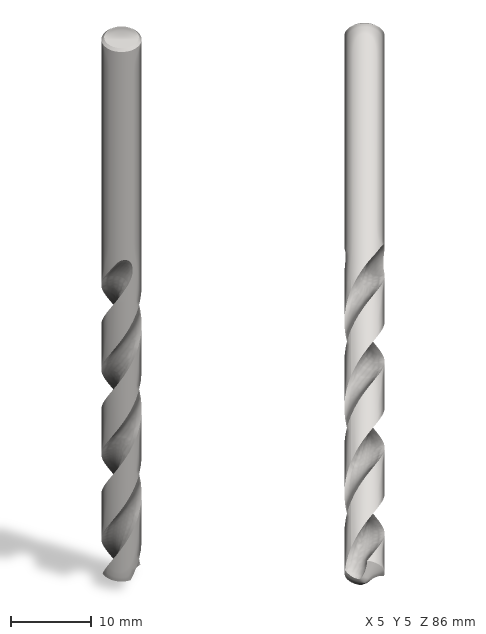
import cadquery as cq
import math

diameter = 5.0
total_length = 86.0
shank_start = 46.0
point_angle = 118.0
shank_chamfer = 0.35

flute_count = 2
flute_pitch = 26.9
flute_radius = 1.7
flute_offset = 2.3
flute_end = 48.4
flute_front_height = 48.0
runout_height = 4.8
runout_lift = 2.6

surface_margin = 0.5

radius = diameter / 2
oversize_radius = radius + surface_margin
point_height = radius / math.tan(math.radians(point_angle / 2))


def flute_azimuth(height):
    """Angle of the first flute about +Z at a height, in degrees."""
    return -90 + 360 * (height - flute_front_height) / flute_pitch


def make_fluted_core(bottom, top):
    """Oversize drill section with both flutes, twisted about the axis between two heights."""
    section = cq.Sketch().circle(oversize_radius)
    section = section.parray(flute_offset, 0, 360, flute_count).circle(flute_radius, mode="s").reset()
    turn = 360 * (top - bottom) / flute_pitch
    core = cq.Workplane("XY").placeSketch(section).twistExtrude(top - bottom, turn)
    return core.rotate((0, 0, 0), (0, 0, 1), flute_azimuth(bottom)).translate((0, 0, bottom))


def make_runout_cutter():
    """The same profile carried on along the helix tangent while curving away from the axis."""
    slope = 2 * math.pi * radius / flute_pitch
    sideways = slope * runout_height
    path = cq.Workplane("XY").add(
        cq.Edge.makeTangentArc(
            cq.Vector(flute_offset, 0, flute_end),
            cq.Vector(0, slope, 1),
            cq.Vector(flute_offset + runout_lift, sideways, flute_end + runout_height),
        )
    ).toPending()
    profile = cq.Workplane("XY", origin=(0, 0, flute_end)).moveTo(flute_offset, 0).circle(flute_radius)
    return profile.sweep(path).rotate((0, 0, 0), (0, 0, 1), flute_azimuth(flute_end))


def make_fluted_body():
    """Cylinder with a conical point, fluted over its whole length."""
    outline = cq.Workplane("XZ").polyline(
        [(0, 0), (radius, point_height), (radius, shank_start), (0, shank_start)]
    ).close()
    blank = outline.revolve(360, (0, 0, 0), (0, 1, 0))
    return blank.intersect(make_fluted_core(0, shank_start))


def make_shank():
    """Chamfered cylinder in which the flutes end."""
    fluted_end = cq.Workplane("XY", origin=(0, 0, shank_start)).circle(radius).extrude(flute_end - shank_start)
    fluted_end = fluted_end.intersect(make_fluted_core(shank_start, flute_end))
    plain = cq.Workplane("XY", origin=(0, 0, flute_end)).circle(radius).extrude(total_length - flute_end)
    plain = plain.faces(">Z").chamfer(shank_chamfer)
    runout = make_runout_cutter()
    for index in range(flute_count):
        plain = plain.cut(runout.rotate((0, 0, 0), (0, 0, 1), 360 * index / flute_count))
    return fluted_end.union(plain)


fluted_body = make_fluted_body()
shank = make_shank()

result = cq.Compound.makeCompound([fluted_body.val(), shank.val()])